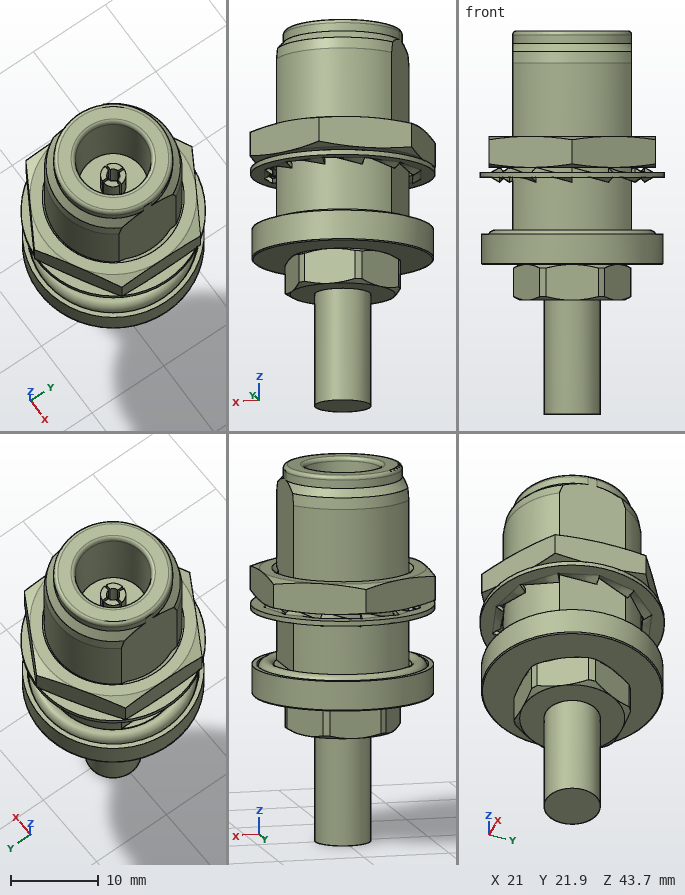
import cadquery as cq
import math

TOTAL_HEIGHT = 43.7
HEX_BASE_Z = 13.02
FLANGE_BASE_Z = 17.1
FLANGE_TOP_Z = 20.55
BARREL_SHOULDER_Z = 40.05
LEAD_IN_BASE_Z = 41.35
NECK_BASE_Z = 42.25

STEM_DIAMETER = 6.42
WRENCH_FLATS = 11.97
HEX_CORNER_RADIUS = 6.7
HEX_CHAMFER_ANGLE = 30
FLANGE_RADIUS = 10.35
FLANGE_CHAMFER = 0.15
BARREL_RADIUS = 7.85
BARREL_FLATS = 13.55
LEAD_IN_RADIUS = 7.65
NECK_DIAMETER = 13.6
RIM_FILLET = 0.5
SEAL_SECTION_RADIUS = 0.9
SEAL_SQUEEZE = 0.05
SEAL_CENTRE_RADIUS = BARREL_RADIUS + SEAL_SECTION_RADIUS - SEAL_SQUEEZE
SEAL_TOP_Z = 21.0
GROOVE_RADIUS = 9.8
GROOVE_FLOOR_Z = SEAL_TOP_Z - 2 * SEAL_SECTION_RADIUS + SEAL_SQUEEZE
BORE_ENTRY_RADIUS = 4.33
BORE_FLOOR_RADIUS = 4.0
BORE_DEPTH = 8.75

CONTACT_RADIUS = 1.45
CONTACT_BORE_RADIUS = 0.75
CONTACT_HEIGHT = 3.5
CONTACT_SLOT_WIDTH = 0.2

NUT_BASE_Z = 28.15
NUT_THICKNESS = 3.55
NUT_CORNER_RADIUS = 10.95
NUT_FLATS = 2 * NUT_CORNER_RADIUS * math.cos(math.radians(30))
NUT_CHAMFER_ANGLE = 15
NUT_BORE_RADIUS = 7.47
NUT_COUNTERSINK_RADIUS = 8.1

WASHER_DIAMETER = 21.0
WASHER_THICKNESS = 0.55
TOOTH_COUNT = 12
TOOTH_PITCH_ANGLE = 360 / TOOTH_COUNT
TOOTH_RISE = 0.55
TOOTH_ROOT_RADIUS = 9.2
TOOTH_TIP_RADIUS = 8.25
WASHER_BASE_Z = NUT_BASE_Z - TOOTH_RISE - WASHER_THICKNESS


def cylinder(radius, base_z, height):
    return cq.Workplane("XY").workplane(offset=base_z).circle(radius).extrude(height)


def revolve_profile(points):
    """Revolve a closed (radius, z) outline about the Z axis."""
    return cq.Workplane("XZ").polyline(points).close().revolve(360, (0, 0, 0), (0, 1, 0))


def hexagon(across_flats, corner_radius, base_z, height, chamfer_angle):
    """Hexagonal prism with corners at +X and -X, its ends coned down to the inscribed circle."""
    inscribed_radius = across_flats / 2
    chamfer = (corner_radius - inscribed_radius) * math.tan(math.radians(chamfer_angle))
    top_z = base_z + height
    prism = (
        cq.Workplane("XY")
        .workplane(offset=base_z)
        .polygon(6, across_flats / math.cos(math.radians(30)))
        .extrude(height)
    )
    envelope = revolve_profile([
        (0, base_z),
        (inscribed_radius, base_z),
        (corner_radius, base_z + chamfer),
        (corner_radius, top_z - chamfer),
        (inscribed_radius, top_z),
        (0, top_z),
    ])
    return prism.intersect(envelope)


def make_barrel():
    """Threaded barrel with two side flats, standing on the flange."""
    neck_radius = NECK_DIAMETER / 2
    barrel = revolve_profile([
        (0, FLANGE_TOP_Z),
        (BARREL_RADIUS, FLANGE_TOP_Z),
        (BARREL_RADIUS, BARREL_SHOULDER_Z),
        (LEAD_IN_RADIUS, LEAD_IN_BASE_Z),
        (neck_radius, NECK_BASE_Z),
        (neck_radius, TOTAL_HEIGHT),
        (0, TOTAL_HEIGHT),
    ])
    barrel = barrel.faces(">Z").edges().fillet(RIM_FILLET)
    barrel_height = TOTAL_HEIGHT - FLANGE_TOP_Z
    between_flats = cq.Workplane("XY").box(
        BARREL_FLATS, 2 * BARREL_RADIUS, barrel_height, centered=(True, True, False)
    ).translate((0, 0, FLANGE_TOP_Z))
    return barrel.intersect(between_flats)


def make_bore():
    """Slightly tapered mating bore, rounded outward at its mouth."""
    floor_z = TOTAL_HEIGHT - BORE_DEPTH
    fillet_base_z = TOTAL_HEIGHT - RIM_FILLET
    mouth_radius = BORE_ENTRY_RADIUS + RIM_FILLET
    arc_offset = RIM_FILLET * (1 - math.cos(math.radians(45)))
    return (
        cq.Workplane("XZ")
        .moveTo(0, floor_z)
        .lineTo(BORE_FLOOR_RADIUS, floor_z)
        .lineTo(BORE_ENTRY_RADIUS, fillet_base_z)
        .threePointArc(
            (BORE_ENTRY_RADIUS + arc_offset, TOTAL_HEIGHT - arc_offset),
            (mouth_radius, TOTAL_HEIGHT),
        )
        .lineTo(0, TOTAL_HEIGHT)
        .close()
        .revolve(360, (0, 0, 0), (0, 1, 0))
    )


def make_contact():
    """Socket tube split into four fingers by two crossing slots."""
    floor_z = TOTAL_HEIGHT - BORE_DEPTH
    contact = cylinder(CONTACT_RADIUS, floor_z, CONTACT_HEIGHT)
    contact = contact.cut(cylinder(CONTACT_BORE_RADIUS, floor_z, CONTACT_HEIGHT))
    slot = cq.Workplane("XY").box(
        2 * CONTACT_RADIUS, CONTACT_SLOT_WIDTH, CONTACT_HEIGHT, centered=(True, True, False)
    ).translate((0, 0, floor_z))
    for angle in (0, 90):
        contact = contact.cut(slot.rotate((0, 0, 0), (0, 0, 1), angle))
    return contact


def make_seal():
    """Round sealing ring pressed slightly into the barrel side and floor of the flange groove."""
    centre_z = SEAL_TOP_Z - SEAL_SECTION_RADIUS
    return (
        cq.Workplane("XZ")
        .center(SEAL_CENTRE_RADIUS, centre_z)
        .circle(SEAL_SECTION_RADIUS)
        .revolve(360, (-SEAL_CENTRE_RADIUS, 0, 0), (-SEAL_CENTRE_RADIUS, 1, 0))
    )


def make_seal_groove():
    """Annular groove in the flange top, between the rim and the barrel diameter."""
    depth = FLANGE_TOP_Z - GROOVE_FLOOR_Z
    core = cylinder(BARREL_RADIUS, GROOVE_FLOOR_Z, depth)
    return cylinder(GROOVE_RADIUS, GROOVE_FLOOR_Z, depth).cut(core)


def make_housing():
    stem = cylinder(STEM_DIAMETER / 2, 0, HEX_BASE_Z)
    wrench_hex = hexagon(
        WRENCH_FLATS, HEX_CORNER_RADIUS, HEX_BASE_Z, FLANGE_BASE_Z - HEX_BASE_Z, HEX_CHAMFER_ANGLE
    )
    flange = cylinder(FLANGE_RADIUS, FLANGE_BASE_Z, FLANGE_TOP_Z - FLANGE_BASE_Z)
    flange = flange.faces("<Z").edges().chamfer(FLANGE_CHAMFER).cut(make_seal_groove())
    housing = stem.union(wrench_hex).union(flange).union(make_barrel()).union(make_seal())
    return housing.cut(make_bore()).union(make_contact())


def make_nut(housing):
    """Panel nut with flats facing +X and -X, its bore threaded onto the barrel."""
    nut_top_z = NUT_BASE_Z + NUT_THICKNESS
    nut = hexagon(NUT_FLATS, NUT_CORNER_RADIUS, NUT_BASE_Z, NUT_THICKNESS, NUT_CHAMFER_ANGLE)
    nut = nut.rotate((0, 0, 0), (0, 0, 1), 30)
    countersink_depth = NUT_COUNTERSINK_RADIUS - NUT_BORE_RADIUS
    bore = revolve_profile([
        (0, NUT_BASE_Z),
        (NUT_COUNTERSINK_RADIUS, NUT_BASE_Z),
        (NUT_BORE_RADIUS, NUT_BASE_Z + countersink_depth),
        (NUT_BORE_RADIUS, nut_top_z - countersink_depth),
        (NUT_COUNTERSINK_RADIUS, nut_top_z),
        (0, nut_top_z),
    ])
    return nut.cut(bore).cut(housing)


def tooth_section(chord_radius, rise):
    """Upright parallelogram across one tooth, one end raised and the other lowered by rise."""
    half_pitch = math.radians(TOOTH_PITCH_ANGLE / 2)
    distance = chord_radius * math.cos(half_pitch)
    half_width = chord_radius * math.sin(half_pitch)
    return cq.Wire.makePolygon(
        [
            cq.Vector(distance, -half_width, WASHER_BASE_Z + rise),
            cq.Vector(distance, half_width, WASHER_BASE_Z - rise),
            cq.Vector(distance, half_width, WASHER_BASE_Z - rise + WASHER_THICKNESS),
            cq.Vector(distance, -half_width, WASHER_BASE_Z + rise + WASHER_THICKNESS),
        ],
        close=True,
    )


def make_washer():
    """Flat ring whose twisted inner teeth reach up to the nut and down below the ring."""
    washer = (
        cylinder(WASHER_DIAMETER / 2, WASHER_BASE_Z, WASHER_THICKNESS)
        .faces("<Z")
        .workplane(centerOption="CenterOfBoundBox")
        .polygon(TOOTH_COUNT, 2 * TOOTH_ROOT_RADIUS)
        .cutThruAll()
    )
    tooth = cq.Solid.makeLoft(
        [tooth_section(TOOTH_ROOT_RADIUS, 0), tooth_section(TOOTH_TIP_RADIUS, TOOTH_RISE)], True
    )
    for index in range(TOOTH_COUNT):
        angle = (index + 0.5) * TOOTH_PITCH_ANGLE
        washer = washer.union(cq.Workplane(tooth.rotate(cq.Vector(), cq.Vector(0, 0, 1), angle)))
    return washer


housing = make_housing()
panel_nut = make_nut(housing)
lock_washer = make_washer()

result = cq.Compound.makeCompound([housing.val(), panel_nut.val(), lock_washer.val()])